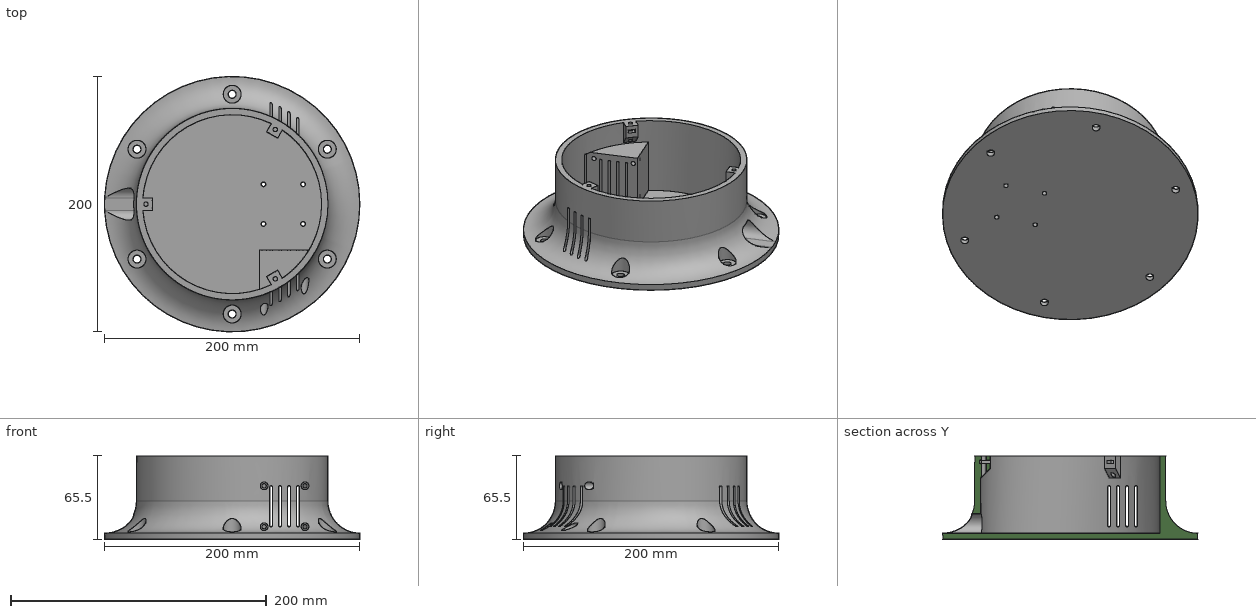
import cadquery as cq
import math

HEIGHT = 65.5
CUP_RADIUS = 75.0
CAVITY_RADIUS = 70.0
FLANGE_RADIUS = 100.0
FLANGE_THICKNESS = 5.0
FLOOR_THICKNESS = 5.0
FLARE_RADIUS = FLANGE_RADIUS - CUP_RADIUS
FLARE_TOP = FLANGE_THICKNESS + FLARE_RADIUS

FLANGE_HOLE_COUNT = 6
FLANGE_HOLE_PITCH_RADIUS = 86.0
FLANGE_HOLE_DIAMETER = 6.0
FLANGE_HEAD_DIAMETER = 14.0
FLANGE_HOLE_FIRST_ANGLE = 30.0

SCREW_DIAMETER = 3.4
SCREW_HEAD_DIAMETER = 6.0
NUT_WIDTH = 5.9
NUT_CORNER_DIAMETER = NUT_WIDTH / math.cos(math.radians(30))

FLOOR_PATTERN_X = 40.0
FLOOR_PATTERN_PITCH = 31.0

BOSS_COUNT = 3
BOSS_FIRST_ANGLE = 60.0
BOSS_WIDTH = 10.0
BOSS_INNER_RADIUS = 62.5
BOSS_OUTER_RADIUS = (CAVITY_RADIUS + CUP_RADIUS) / 2
BOSS_FACE_HEIGHT = 10.0
BOSS_HOLE_RADIUS = 67.5
NUT_SLOT_HEIGHT = 2.5
NUT_SLOT_TOP_DEPTH = 3.5

FAN_X = 41.0
FAN_Z = 26.0
FAN_SCREW_PITCH = 32.0
FAN_BLOCK_FACE_Y = -36.0
FAN_BLOCK_SIDE_X = 21.5
FAN_RELIEF_SIDE_X = 63.0
FAN_TOP = 2 * FAN_Z - FLOOR_THICKNESS
FAN_HEAD_SEAT_Y = -45.0

VENT_COUNT = 4
VENT_PITCH = 7.0
VENT_WIDTH = 2.0
VENT_HEIGHT = 32.0

PASSAGE_WIDTH = 25.0
PASSAGE_HEIGHT = 15.0
PASSAGE_END_X = -BOSS_INNER_RADIUS


def make_housing():
    """Revolve the solid outside shape, flange and concave flare included."""
    flare_dip = FLARE_RADIUS * math.sin(math.radians(45))
    profile = (
        cq.Workplane("XZ")
        .lineTo(FLANGE_RADIUS, 0)
        .lineTo(FLANGE_RADIUS, FLANGE_THICKNESS)
        .threePointArc(
            (FLANGE_RADIUS - flare_dip, FLARE_TOP - flare_dip),
            (CUP_RADIUS, FLARE_TOP),
        )
        .lineTo(CUP_RADIUS, HEIGHT)
        .lineTo(0, HEIGHT)
        .close()
    )
    return profile.revolve(360, (0, 0, 0), (0, 1, 0))


def make_cavity():
    return (
        cq.Workplane("XY")
        .workplane(offset=FLOOR_THICKNESS)
        .circle(CAVITY_RADIUS)
        .extrude(HEIGHT - FLOOR_THICKNESS)
    )


def make_fan_block():
    """Block that fills the cavity corner behind the fan screws."""
    block = cq.Workplane("XY").box(CUP_RADIUS, CUP_RADIUS, FAN_TOP - FLOOR_THICKNESS, centered=False)
    corner = (FAN_BLOCK_SIDE_X, FAN_BLOCK_FACE_Y - CUP_RADIUS, FLOOR_THICKNESS)
    return block.translate(corner).intersect(make_cavity())


def make_fan_relief():
    """Flat-sided relief in the wall that clears the fan body in front of the block."""
    width = FAN_RELIEF_SIDE_X - FAN_BLOCK_SIDE_X
    depth = -FAN_BLOCK_FACE_Y
    relief = cq.Workplane("XY").box(width, depth, FAN_TOP - FLOOR_THICKNESS, centered=False)
    return relief.translate((FAN_BLOCK_SIDE_X, FAN_BLOCK_FACE_Y, FLOOR_THICKNESS))


def make_boss():
    """Boss on the +X side: vertical inner face, then a 45 degree underside."""
    depth = BOSS_OUTER_RADIUS - BOSS_INNER_RADIUS
    face_bottom = HEIGHT - BOSS_FACE_HEIGHT
    return (
        cq.Workplane("XZ")
        .moveTo(BOSS_OUTER_RADIUS, HEIGHT)
        .lineTo(BOSS_INNER_RADIUS, HEIGHT)
        .lineTo(BOSS_INNER_RADIUS, face_bottom)
        .lineTo(BOSS_OUTER_RADIUS, face_bottom - depth)
        .close()
        .extrude(BOSS_WIDTH / 2, both=True)
    )


def make_boss_cut():
    """Screw hole and captive nut slot of the boss on the +X side."""
    hole_depth = BOSS_FACE_HEIGHT + BOSS_HOLE_RADIUS - BOSS_INNER_RADIUS + SCREW_DIAMETER
    hole = (
        cq.Workplane("XY")
        .workplane(offset=HEIGHT - hole_depth)
        .center(BOSS_HOLE_RADIUS, 0)
        .circle(SCREW_DIAMETER / 2)
        .extrude(hole_depth)
    )
    nut_bottom = HEIGHT - NUT_SLOT_TOP_DEPTH - NUT_SLOT_HEIGHT
    nut = (
        cq.Workplane("XY")
        .workplane(offset=nut_bottom)
        .center(BOSS_HOLE_RADIUS, 0)
        .polygon(6, NUT_CORNER_DIAMETER)
        .extrude(NUT_SLOT_HEIGHT)
    )
    slot_length = BOSS_HOLE_RADIUS - BOSS_INNER_RADIUS
    slot = (
        cq.Workplane("XY")
        .workplane(offset=nut_bottom)
        .center(BOSS_HOLE_RADIUS - slot_length / 2, 0)
        .rect(slot_length, NUT_WIDTH)
        .extrude(NUT_SLOT_HEIGHT)
    )
    return hole.union(nut).union(slot)


def around_axis(shape, count, first_angle):
    """Equally spaced copies of a shape about the Z axis."""
    axis_start = (0, 0, 0)
    axis_end = (0, 0, 1)
    copies = cq.Workplane("XY")
    for index in range(count):
        angle = first_angle + index * 360 / count
        copies = copies.add(shape.rotate(axis_start, axis_end, angle))
    return copies.combine()


def make_flange_hole():
    """Through hole with a flat head seat, on the +X side."""
    start = cq.Workplane("XY").center(FLANGE_HOLE_PITCH_RADIUS, 0)
    hole = start.circle(FLANGE_HOLE_DIAMETER / 2).extrude(FLANGE_THICKNESS)
    seat = (
        start.workplane(offset=FLANGE_THICKNESS)
        .circle(FLANGE_HEAD_DIAMETER / 2)
        .extrude(HEIGHT)
    )
    return hole.union(seat)


def make_floor_holes():
    return (
        cq.Workplane("XY")
        .center(FLOOR_PATTERN_X, 0)
        .rect(FLOOR_PATTERN_PITCH, FLOOR_PATTERN_PITCH, forConstruction=True)
        .vertices()
        .circle(SCREW_DIAMETER / 2)
        .extrude(FLOOR_THICKNESS)
    )


def fan_plane(y):
    """Plane facing -Y with its origin on the fan axis."""
    return cq.Workplane("XZ", origin=(FAN_X, y, FAN_Z))


def make_vents():
    return (
        fan_plane(0)
        .rarray(VENT_PITCH, 1, VENT_COUNT, 1)
        .slot2D(VENT_HEIGHT, VENT_WIDTH, 90)
        .extrude(FLANGE_RADIUS, both=True)
    )


def make_fan_screws():
    """Counterbored holes entering through the -Y wall."""
    pattern_size = (FAN_SCREW_PITCH, FAN_SCREW_PITCH)
    holes = (
        fan_plane(0)
        .rect(*pattern_size, forConstruction=True)
        .vertices()
        .circle(SCREW_DIAMETER / 2)
        .extrude(FLANGE_RADIUS)
    )
    heads = (
        fan_plane(FAN_HEAD_SEAT_Y)
        .rect(*pattern_size, forConstruction=True)
        .vertices()
        .circle(SCREW_HEAD_DIAMETER / 2)
        .extrude(FLANGE_RADIUS)
    )
    return holes.union(heads)


def make_cable_passage():
    """Rounded opening from the -X side into the cavity, level with its floor."""
    centre_z = FLOOR_THICKNESS + PASSAGE_HEIGHT / 2
    return (
        cq.Workplane("YZ", origin=(PASSAGE_END_X, 0, centre_z))
        .slot2D(PASSAGE_WIDTH, PASSAGE_HEIGHT)
        .extrude(-FLANGE_RADIUS)
    )


result = make_housing().cut(make_cavity())
result = result.union(make_fan_block())
result = result.cut(make_fan_relief())
result = result.union(around_axis(make_boss(), BOSS_COUNT, BOSS_FIRST_ANGLE))
result = result.cut(around_axis(make_boss_cut(), BOSS_COUNT, BOSS_FIRST_ANGLE))
result = result.cut(around_axis(make_flange_hole(), FLANGE_HOLE_COUNT, FLANGE_HOLE_FIRST_ANGLE))
result = result.cut(make_floor_holes())
result = result.cut(make_vents())
result = result.cut(make_fan_screws())
result = result.cut(make_cable_passage())